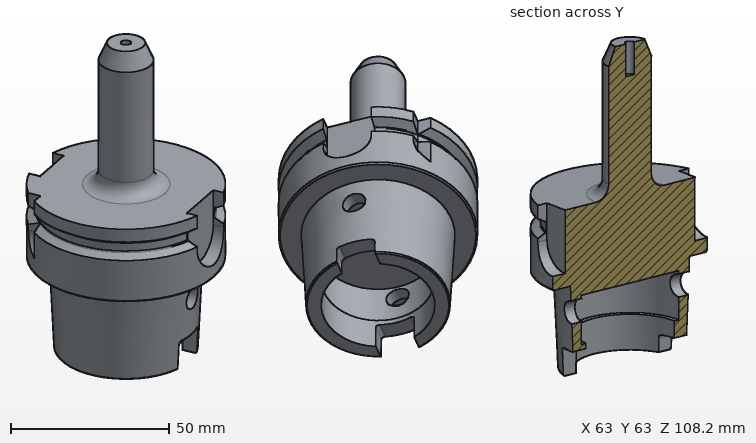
import cadquery as cq

total_height = 108.2
shank_height = 32.0
flange_top = 58.0
tip_start = 102.1

shank_top_radius = 24.3
shank_bottom_radius = 22.8
shank_edge_chamfer = 0.4
bore_radius = 18.0
bore_depth = 28.1
relief_radius = 19.7
relief_start = 11.9

flange_radius = 31.5
flange_edge_chamfer = 0.5
groove_radius = 28.3
groove_fillet = 0.4
radius_tolerance = 0.01
lower_rim_top = 46.9
groove_bottom = 48.4
groove_top = 51.7
upper_rim_bottom = 53.5

arbor_radius = 8.8
arbor_tip_radius = 6.1
arbor_fillet = 5.1
coolant_hole_radius = 1.6
coolant_hole_depth = 10.8

keyway_floor = 26.5
keyway_bottom = 36.9
left_keyway_width = 16.0
right_keyway_width = 18.0
notch_offset = 20.0

cross_hole_height = 23.3
cross_hole_radius = 3.8
drive_slot_width = 12.8
drive_slot_fillet = 1.3
left_drive_slot_height = 6.1
right_drive_slot_height = 10.0


def groove_root_edges(body):
    """The two circular edges at the root of the gripper groove."""
    circles = body.edges("%CIRCLE").vals()
    return [edge for edge in circles if abs(edge.radius() - groove_radius) < radius_tolerance]


def make_body():
    """Revolve the shank, grooved flange and arbor as one solid."""
    profile = (
        cq.Workplane("XZ")
        .lineTo(shank_bottom_radius - shank_edge_chamfer, 0)
        .lineTo(shank_bottom_radius, shank_edge_chamfer)
        .lineTo(shank_top_radius, shank_height)
        .lineTo(flange_radius - flange_edge_chamfer, shank_height)
        .lineTo(flange_radius, shank_height + flange_edge_chamfer)
        .lineTo(flange_radius, lower_rim_top)
        .lineTo(groove_radius, groove_bottom)
        .lineTo(groove_radius, groove_top)
        .lineTo(flange_radius, upper_rim_bottom)
        .lineTo(flange_radius, flange_top)
        .lineTo(arbor_radius + arbor_fillet, flange_top)
        .radiusArc((arbor_radius, flange_top + arbor_fillet), arbor_fillet)
        .lineTo(arbor_radius, tip_start)
        .lineTo(arbor_tip_radius, total_height)
        .lineTo(0, total_height)
        .close()
    )
    body = profile.revolve(360, (0, 0, 0), (0, 1, 0))
    return body.newObject(groove_root_edges(body)).fillet(groove_fillet)


def make_bore():
    """Blind hollow of the shank, widened above its mouth by a relief."""
    mouth = cq.Workplane("XY").circle(bore_radius).extrude(bore_depth)
    relief = (
        cq.Workplane("XY", origin=(0, 0, relief_start))
        .circle(relief_radius)
        .extrude(bore_depth - relief_start)
    )
    return mouth.union(relief)


def make_coolant_hole():
    """Blind hole down from the arbor tip."""
    return (
        cq.Workplane("XY", origin=(0, 0, total_height))
        .circle(coolant_hole_radius)
        .extrude(-coolant_hole_depth)
    )


def make_keyway(side, floor, width, center_y):
    """Round-bottomed slot open to the flange top and to the given side of X."""
    radius = width / 2
    arc_center = keyway_bottom + radius
    return (
        cq.Workplane("YZ", origin=(side * floor, 0, 0))
        .moveTo(center_y - radius, flange_top)
        .lineTo(center_y - radius, arc_center)
        .threePointArc((center_y, keyway_bottom), (center_y + radius, arc_center))
        .lineTo(center_y + radius, flange_top)
        .close()
        .extrude(side * flange_radius)
    )


def make_drive_slot(side, height):
    """Slot through one shank wall, open at the bottom, with rounded upper corners."""
    return (
        cq.Workplane("XY")
        .box(flange_radius, drive_slot_width, height, centered=(False, True, False))
        .edges("|X and >Z")
        .fillet(drive_slot_fillet)
        .translate((0 if side > 0 else -flange_radius, 0, 0))
    )


def make_cross_hole():
    """Hole along X through both shank walls."""
    return (
        cq.Workplane("YZ")
        .center(0, cross_hole_height)
        .circle(cross_hole_radius)
        .extrude(flange_radius, both=True)
    )


notch_center_y = -(notch_offset + left_keyway_width / 2)

result = (
    make_body()
    .cut(make_bore())
    .cut(make_coolant_hole())
    .cut(make_keyway(-1, keyway_floor, left_keyway_width, 0))
    .cut(make_keyway(1, keyway_floor, right_keyway_width, 0))
    .cut(make_keyway(-1, notch_offset, left_keyway_width, notch_center_y))
    .cut(make_drive_slot(-1, left_drive_slot_height))
    .cut(make_drive_slot(1, right_drive_slot_height))
    .cut(make_cross_hole())
)